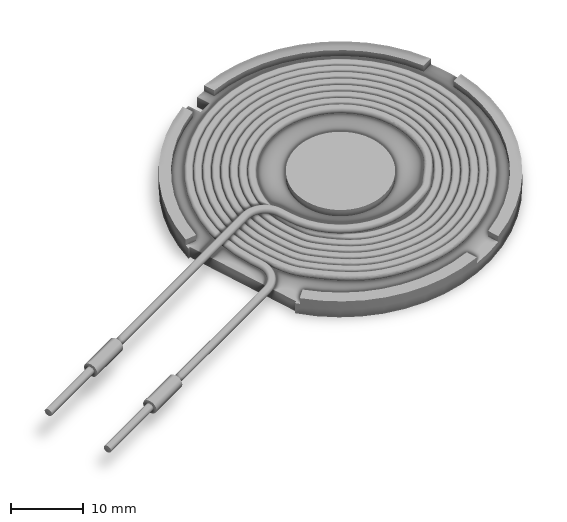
import cadquery as cq
import math

plate_diameter = 50.0
plate_radius = plate_diameter / 2
floor_z = 2.0
rim_top_z = 3.1
rim_inner_radius = 23.3
rim_gap_width = 5.0
hub_diameter = 15.0
hub_height = 1.2
notch_width = 2.1
notch_depth = 2.1
flat_y = -22.9
flat_width = 18.0
outlet_half_angle = 22.7

wire_diameter = 1.2
turn_count = 8
outer_turn_radius = 20.85
inner_turn_radius = 12.2
pitch = (outer_turn_radius - inner_turn_radius) / (turn_count - 1)
sleeve_diameter = 2.3
sleeve_length = 6.1
bare_end_length = 10.0
overall_height = 5.4
overall_length = 86.9
lead_spacing = 10.0
lead_x = lead_spacing / 2
bend_radius = 3.5
lead_layer_z = overall_height - sleeve_diameter / 2
coil_layer_z = lead_layer_z - pitch
lead_end_y = plate_radius - overall_length
quarter_steps = (0, 0.25, 0.5, 0.75, 1)


def make_plate():
    plate = cq.Workplane("XY").circle(plate_radius).extrude(floor_z)
    hub = cq.Workplane("XY").workplane(offset=floor_z).circle(hub_diameter / 2).extrude(hub_height)
    return plate.union(hub)


def make_rim():
    rim_height = rim_top_z - floor_z
    rim = (
        cq.Workplane("XY").workplane(offset=floor_z)
        .circle(plate_radius).circle(rim_inner_radius).extrude(rim_height)
    )
    side_gaps = cq.Workplane("XY").box(
        plate_diameter, rim_gap_width, rim_height, centered=(True, True, False)
    )
    top_gap = cq.Workplane("XY").box(
        rim_gap_width, plate_radius, rim_height, centered=(True, False, False)
    )
    wedge_half_width = plate_radius * math.tan(math.radians(outlet_half_angle))
    outlet = (
        cq.Workplane("XY")
        .polyline([(0, 0), (-wedge_half_width, -plate_radius), (wedge_half_width, -plate_radius)])
        .close().extrude(rim_height)
    )
    for opening in (side_gaps, top_gap, outlet):
        rim = rim.cut(opening.translate((0, 0, floor_z)))
    return rim


def make_housing():
    housing = make_plate().union(make_rim())
    notch = cq.Workplane("XY").box(
        2 * notch_depth, notch_width, rim_top_z, centered=(True, True, False)
    ).translate((-plate_radius, 0, 0))
    edge_cut_depth = plate_radius + flat_y
    edge_cut = cq.Workplane("XY").box(
        flat_width, edge_cut_depth, floor_z, centered=(True, False, False)
    ).translate((0, -plate_radius, 0))
    return housing.cut(notch).cut(edge_cut)


def polar(radius, angle, z):
    a = math.radians(angle)
    return cq.Vector(radius * math.cos(a), radius * math.sin(a), z)


def arc(radius, z, start, middle, end):
    return cq.Edge.makeThreePointArc(
        polar(radius, start, z), polar(radius, middle, z), polar(radius, end, z)
    )


def step_in(radius, z):
    """Quarter turn from +X to -Y that narrows smoothly by one pitch."""
    return cq.Edge.makeSpline(
        [polar(radius - pitch * t, -90 * t, z) for t in quarter_steps],
        tangents=[cq.Vector(0, -1, 0), cq.Vector(-1, 0, 0)],
    )


def climb(radius):
    """Quarter turn from +Y to +X that rises from the coil layer to the lead layer."""
    points = []
    for t in quarter_steps:
        rise = (1 - math.cos(math.pi * t)) / 2
        points.append(polar(radius, 90 - 90 * t, coil_layer_z + pitch * rise))
    return cq.Edge.makeSpline(points, tangents=[cq.Vector(1, 0, 0), cq.Vector(0, -1, 0)])


def lead_edges(side, radius, z):
    """Centreline of a lead, from the coil at x = 0 to its free end; side is -1 or +1."""
    bend_x = side * (lead_x - bend_radius)
    bend_end_y = -radius - bend_radius
    bend_start = cq.Vector(bend_x, -radius, z)
    bend_end = cq.Vector(side * lead_x, bend_end_y, z)
    return [
        cq.Edge.makeLine(cq.Vector(0, -radius, z), bend_start),
        cq.Edge.makeTangentArc(bend_start, cq.Vector(side, 0, 0), bend_end),
        cq.Edge.makeLine(bend_end, cq.Vector(side * lead_x, lead_end_y, z)),
    ]


def wire_along(edges, start, direction):
    path = cq.Workplane("XY").newObject([cq.Wire.assembleEdges(edges)])
    section = cq.Workplane(cq.Plane(origin=start, xDir=(0, 0, 1), normal=direction))
    return section.circle(wire_diameter / 2).sweep(path)


def make_spiral():
    """Winding from the outer turn at -Y, clockwise and inwards, up to the inner lead at -Y."""
    edges = []
    for turn in range(turn_count - 1):
        radius = outer_turn_radius - turn * pitch
        edges.append(arc(radius, coil_layer_z, 270, 135, 0))
        edges.append(step_in(radius, coil_layer_z))
    edges.append(arc(inner_turn_radius, coil_layer_z, 270, 180, 90))
    edges.append(climb(inner_turn_radius))
    edges.append(arc(inner_turn_radius, lead_layer_z, 0, -45, -90))
    return wire_along(edges, (0, -outer_turn_radius, coil_layer_z), (-1, 0, 0))


def make_lead(side, radius, z):
    lead = wire_along(lead_edges(side, radius, z), (0, -radius, z), (side, 0, 0))
    sleeve = (
        cq.Workplane("XZ", origin=(side * lead_x, lead_end_y + bare_end_length, z))
        .circle(sleeve_diameter / 2).extrude(-sleeve_length)
    )
    return lead.union(sleeve)


def make_coil():
    inner_lead = make_lead(-1, inner_turn_radius, lead_layer_z)
    outer_lead = make_lead(1, outer_turn_radius, coil_layer_z)
    return make_spiral().union(inner_lead).union(outer_lead)


housing = make_housing()
coil = make_coil()

result = cq.Compound.makeCompound([housing.solids().val(), coil.solids().val()])